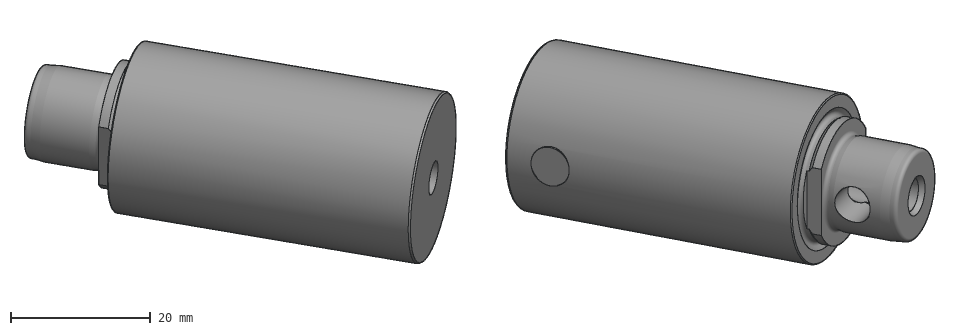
import cadquery as cq
import math

LENGTH = 59.0

BODY_RADIUS = 12.5
SHOULDER_X = 14.0
SHOULDER_CHAMFER = 0.2
REAR_CHAMFER_LENGTH = 0.3
REAR_CHAMFER_DEPTH = 0.2

SPIGOT_RADIUS = 7.0
SPIGOT_RELIEF = 0.2
RELIEF_RADIUS = SPIGOT_RADIUS - SPIGOT_RELIEF
TIP_FILLET = 0.6
TIP_RELIEF_END_X = 1.1
TIP_TAPER_END_X = 2.55
ROOT_TAPER_START_X = 9.85
ROOT_TAPER_END_X = 10.75
ROOT_FILLET = 0.6

COLLAR_X = 11.45
COLLAR_RADIUS = 9.3
COLLAR_TAPER_START_X = 12.85
COLLAR_TAPER_END_X = 13.4
COLLAR_NECK_RADIUS = 8.95
FLAT_END_X = 13.75
FLAT_HALF_WIDTH = 7.7

GROOVE_FILLET = 0.6
GROOVE_OUTER_RADIUS = 10.45
GROOVE_CONE_ANGLE = math.radians(27)
GROOVE_FILLET_CENTER_RADIUS = COLLAR_NECK_RADIUS + GROOVE_FILLET
GROOVE_FILLET_END_RADIUS = GROOVE_FILLET_CENTER_RADIUS + GROOVE_FILLET * math.sin(GROOVE_CONE_ANGLE)
GROOVE_CONE_WIDTH = GROOVE_OUTER_RADIUS - GROOVE_FILLET_END_RADIUS
GROOVE_FILLET_END_X = SHOULDER_X + GROOVE_CONE_WIDTH * math.tan(GROOVE_CONE_ANGLE)
GROOVE_FILLET_START_X = GROOVE_FILLET_END_X - GROOVE_FILLET * math.cos(GROOVE_CONE_ANGLE)

BORE_RADIUS = 2.5
BORE_CHAMFER_DEPTH = 0.5
BORE_CHAMFER_LENGTH = 0.8

PORT_X = 6.9
PORT_RADIUS = 2.8
PLUG_X = LENGTH - (SHOULDER_X - PORT_X)
PLUG_RADIUS = 3.0
PLUG_LENGTH = 2 * PLUG_RADIUS


def arc_middle(center_x, center_r, radius, angle_deg):
    """Point on a profile arc, at an angle measured from +X towards larger radius."""
    angle = math.radians(angle_deg)
    return (center_x + radius * math.cos(angle), center_r + radius * math.sin(angle))


def turned_blank():
    """Revolve the outer half profile (X, radius) about the X axis."""
    tip_mid = arc_middle(TIP_FILLET, RELIEF_RADIUS - TIP_FILLET, TIP_FILLET, 135)
    root_mid = arc_middle(COLLAR_X - ROOT_FILLET, RELIEF_RADIUS + ROOT_FILLET, ROOT_FILLET, -45)
    groove_mid = arc_middle(GROOVE_FILLET_START_X, GROOVE_FILLET_CENTER_RADIUS, GROOVE_FILLET, -45)
    profile = (
        cq.Workplane("XZ")
        .moveTo(0, 0)
        .lineTo(0, RELIEF_RADIUS - TIP_FILLET)
        .threePointArc(tip_mid, (TIP_FILLET, RELIEF_RADIUS))
        .lineTo(TIP_RELIEF_END_X, RELIEF_RADIUS)
        .lineTo(TIP_TAPER_END_X, SPIGOT_RADIUS)
        .lineTo(ROOT_TAPER_START_X, SPIGOT_RADIUS)
        .lineTo(ROOT_TAPER_END_X, RELIEF_RADIUS)
        .lineTo(COLLAR_X - ROOT_FILLET, RELIEF_RADIUS)
        .threePointArc(root_mid, (COLLAR_X, RELIEF_RADIUS + ROOT_FILLET))
        .lineTo(COLLAR_X, COLLAR_RADIUS)
        .lineTo(COLLAR_TAPER_START_X, COLLAR_RADIUS)
        .lineTo(COLLAR_TAPER_END_X, COLLAR_NECK_RADIUS)
        .lineTo(GROOVE_FILLET_START_X, COLLAR_NECK_RADIUS)
        .threePointArc(groove_mid, (GROOVE_FILLET_END_X, GROOVE_FILLET_END_RADIUS))
        .lineTo(SHOULDER_X, GROOVE_OUTER_RADIUS)
        .lineTo(SHOULDER_X, BODY_RADIUS - SHOULDER_CHAMFER)
        .lineTo(SHOULDER_X + SHOULDER_CHAMFER, BODY_RADIUS)
        .lineTo(LENGTH - REAR_CHAMFER_LENGTH, BODY_RADIUS)
        .lineTo(LENGTH, BODY_RADIUS - REAR_CHAMFER_DEPTH)
        .lineTo(LENGTH, 0)
        .close()
    )
    return profile.revolve(360, (0, 0, 0), (1, 0, 0))


def wrench_flat_cutter(side):
    """Block that trims the collar to a flat on the +Y (side = 1) or -Y (side = -1) side."""
    length = FLAT_END_X - COLLAR_X
    depth = COLLAR_RADIUS - FLAT_HALF_WIDTH
    return cq.Workplane("XY").box(length, depth, 2 * COLLAR_RADIUS).translate(
        (COLLAR_X + length / 2, side * (FLAT_HALF_WIDTH + depth / 2), 0)
    )


def axial_bore():
    """Through bore along X with a chamfered mouth at the spigot tip."""
    profile = (
        cq.Workplane("XZ")
        .moveTo(0, 0)
        .lineTo(0, BORE_RADIUS + BORE_CHAMFER_DEPTH)
        .lineTo(BORE_CHAMFER_LENGTH, BORE_RADIUS)
        .lineTo(LENGTH, BORE_RADIUS)
        .lineTo(LENGTH, 0)
        .close()
    )
    return profile.revolve(360, (0, 0, 0), (1, 0, 0))


def radial_cylinder(x, radius, inner_y, outer_y):
    """Cylinder along +Y at the given X, with its axis crossing the X axis."""
    return cq.Workplane(
        cq.Solid.makeCylinder(radius, outer_y - inner_y, cq.Vector(x, inner_y, 0), cq.Vector(0, 1, 0))
    )


def make_plug():
    """Flat-topped plug whose top just reaches the outer radius of the large cylinder."""
    return radial_cylinder(PLUG_X, PLUG_RADIUS, BODY_RADIUS - PLUG_LENGTH, BODY_RADIUS)


def make_adapter():
    """Turned body with wrench flats, bore, radial port and the seat for the plug."""
    adapter = turned_blank()
    for side in (-1, 1):
        adapter = adapter.cut(wrench_flat_cutter(side))
    adapter = adapter.cut(axial_bore())
    adapter = adapter.cut(radial_cylinder(PORT_X, PORT_RADIUS, 0, SPIGOT_RADIUS))
    return adapter.cut(make_plug())


adapter = make_adapter()
plug = make_plug()

result = cq.Compound.makeCompound([adapter.val(), plug.val()])